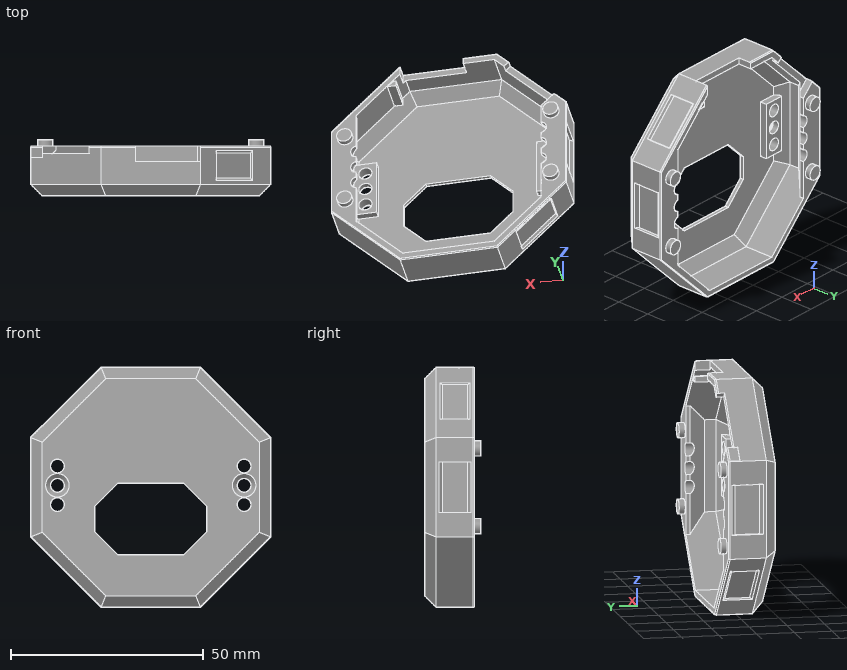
import math

import cadquery as cq

ACROSS_FLATS = 62.43
HALF_FLATS = ACROSS_FLATS / 2
SIDES = 8
HALF_SIDE_ANGLE = 180 / SIDES
HALF_SIDE = HALF_FLATS * math.tan(math.radians(HALF_SIDE_ANGLE))
RIM_Y = 13.0
WALL = 1.8
PLATE = 1.1
FRONT_BEVEL = 3.0
RIM_CHAMFER_OUT = 0.15
RIM_CHAMFER_DEPTH = 0.45

WINDOW_WIDTH = 29.0
WINDOW_HEIGHT = 18.5
WINDOW_CORNER = 5.9
WINDOW_TOP_Z = 1.0

HOLE_X = 24.25
HOLE_MID_Z = 0.5
HOLE_PITCH = 5.0
HOLE_DIAMETER = 3.5
SINK_DIAMETER = 6.1
SINK_ANGLE = 90
HOLE_PAD_WIDTH = 6.0
HOLE_PAD_HEIGHT = 16.0
HOLE_PAD_Y = 3.1

LEDGE_INNER_X = 24.6
LEDGE_THICKNESS = 1.1
PEG_X = 27.4
PEG_Z = 10.1
PEG_DIAMETER = 4.0
PEG_HEIGHT = 1.6

RECESS_LENGTH = 13.2
SIDE_RECESS_FRONT_Y = 3.75
SIDE_RECESS_REAR_Y = 12.05
SIDE_RECESS_DEPTH = 0.9
DIAGONAL_RECESS_FRONT_Y = 4.0
DIAGONAL_RECESS_REAR_Y = 11.75
DIAGONAL_RECESS_DEPTH = 0.6
DIAGONAL_RECESS_SHIFT = 0.5

TOP_NOTCH_LEFT_X = -3.9
TOP_NOTCH_FLOOR_Y = 8.95
TOP_NOTCH_DEPTH = 5.0
DIAGONAL_NOTCH_LENGTH = 17.1
DIAGONAL_NOTCH_FLOOR_Y = 10.95
DIAGONAL_NOTCH_DEPTH = 5.0

RIB_INNER_X = 14.0
RIB_LOW_Z = 25.3
RIB_HIGH_Z = 26.8
RIB_REAR_Y = 12.75

TAB_FRONT_Y = 9.95
TAB_PROUD = 0.08


def octagon_prism(half_flats, y_front, y_rear, taper=0):
    """Regular octagon with flats facing X and Z, from y_front to y_rear, narrowing by `taper` degrees."""
    circumscribed = 2 * half_flats / math.cos(math.radians(HALF_SIDE_ANGLE))
    return (
        cq.Workplane("XZ", origin=(0, y_front, 0))
        .transformed(rotate=(0, 0, HALF_SIDE_ANGLE))
        .polygon(SIDES, circumscribed)
        .extrude(y_front - y_rear, taper=taper)
    )


def box(x_range, y_range, z_range):
    """Axis-aligned box given its limits along each axis."""
    limits = (x_range, y_range, z_range)
    sizes = [high - low for low, high in limits]
    corner = [low for low, high in limits]
    return cq.Workplane("XY", origin=corner).box(*sizes, centered=False)


def place_on_wall(shape, angle):
    """Turn a shape built on the +X wall to the wall whose normal is at `angle` from +X towards +Z."""
    return shape.rotate((0, 0, 0), (0, 1, 0), -angle)


def shell():
    """Hollow octagonal cover with a bevelled front and a chamfered rear rim."""
    rim_start_y = RIM_Y - RIM_CHAMFER_DEPTH
    rim_taper = math.degrees(math.atan2(RIM_CHAMFER_OUT, RIM_CHAMFER_DEPTH))
    body = octagon_prism(HALF_FLATS, 0, rim_start_y).faces("<Y").chamfer(FRONT_BEVEL)
    rim = octagon_prism(HALF_FLATS, rim_start_y, RIM_Y, rim_taper)
    outer = body.union(rim)
    cavity = octagon_prism(HALF_FLATS - WALL, PLATE, RIM_Y)
    return outer.cut(cavity.faces("<Y").chamfer(FRONT_BEVEL))


def ledge(side):
    """Rear ledge along a side wall with a 45 degree underside; side is -1 or +1."""
    tip_y = RIM_Y - LEDGE_THICKNESS
    wall_x = HALF_FLATS - WALL
    outline = [
        (side * LEDGE_INNER_X, RIM_Y),
        (side * LEDGE_INNER_X, tip_y),
        (side * wall_x, tip_y - (wall_x - LEDGE_INNER_X)),
        (side * wall_x, RIM_Y),
    ]
    bar = cq.Workplane("XY").polyline(outline).close().extrude(HALF_FLATS, both=True)
    return bar.intersect(octagon_prism(HALF_FLATS - WALL, 0, RIM_Y))


def corner_rib():
    """Square-edged rib on the inside of the upper right diagonal wall, behind the bevel."""
    bevel_end_y = PLATE + FRONT_BEVEL
    block = box((RIB_INNER_X, HALF_FLATS), (bevel_end_y, RIB_REAR_Y), (RIB_LOW_Z, RIB_HIGH_Z))
    return block.intersect(octagon_prism(HALF_FLATS - WALL, 0, RIM_Y))


def hole_pad(side):
    """Thickening behind one row of screw holes."""
    return box(
        (side * HOLE_X - HOLE_PAD_WIDTH / 2, side * HOLE_X + HOLE_PAD_WIDTH / 2),
        (PLATE, HOLE_PAD_Y),
        (HOLE_MID_Z - HOLE_PAD_HEIGHT / 2, HOLE_MID_Z + HOLE_PAD_HEIGHT / 2),
    )


def pegs():
    """Four locating pegs standing on the ledges."""
    return (
        cq.Workplane("XZ", origin=(0, RIM_Y, 0))
        .rect(2 * PEG_X, 2 * PEG_Z, forConstruction=True)
        .vertices()
        .circle(PEG_DIAMETER / 2)
        .extrude(-PEG_HEIGHT)
    )


def screw_holes():
    """Two rows of three through holes, the middle one of each row countersunk."""
    centres = [
        (side * HOLE_X, HOLE_MID_Z + step * HOLE_PITCH) for side in (-1, 1) for step in (-1, 0, 1)
    ]
    drills = cq.Workplane("XZ").pushPoints(centres).circle(HOLE_DIAMETER / 2).extrude(-RIM_Y)
    sink_depth = SINK_DIAMETER / 2 / math.tan(math.radians(SINK_ANGLE / 2))
    for side in (-1, 1):
        sink = cq.Solid.makeCone(
            SINK_DIAMETER / 2,
            0,
            sink_depth,
            pnt=cq.Vector(side * HOLE_X, 0, HOLE_MID_Z),
            dir=cq.Vector(0, 1, 0),
        )
        drills = drills.union(cq.Workplane(sink))
    return drills


def plate_window():
    """Rectangular opening with cut corners through the face plate."""
    return (
        box(
            (-WINDOW_WIDTH / 2, WINDOW_WIDTH / 2),
            (0, PLATE),
            (WINDOW_TOP_Z - WINDOW_HEIGHT, WINDOW_TOP_Z),
        )
        .edges("|Y")
        .chamfer(WINDOW_CORNER)
    )


def wall_recess(front_y, rear_y, depth, shift):
    """Recess in the +X wall whose front and rear faces slope inward at 45 degrees."""
    floor_x = HALF_FLATS - depth
    outline = [
        (HALF_FLATS, front_y),
        (floor_x, front_y + depth),
        (floor_x, rear_y - depth),
        (HALF_FLATS, rear_y),
    ]
    prism = cq.Workplane("XY").polyline(outline).close().extrude(RECESS_LENGTH / 2, both=True)
    return prism.translate((0, 0, shift))


def diagonal_recess(shift):
    """Recess for a diagonal wall, moved along that wall by `shift`."""
    return wall_recess(
        DIAGONAL_RECESS_FRONT_Y, DIAGONAL_RECESS_REAR_Y, DIAGONAL_RECESS_DEPTH, shift
    )


def recesses():
    """Recesses in both side walls and in the upper right and lower left diagonal walls."""
    side = wall_recess(SIDE_RECESS_FRONT_Y, SIDE_RECESS_REAR_Y, SIDE_RECESS_DEPTH, 0)
    cutter = place_on_wall(side, 0).union(place_on_wall(side, 180))
    upper_right = place_on_wall(diagonal_recess(DIAGONAL_RECESS_SHIFT), 45)
    lower_left = place_on_wall(diagonal_recess(-DIAGONAL_RECESS_SHIFT), 225)
    return cutter.union(upper_right).union(lower_left)


def top_notch():
    """Cut-out of the top wall, reaching to its right-hand corner."""
    return box(
        (TOP_NOTCH_LEFT_X, HALF_SIDE),
        (TOP_NOTCH_FLOOR_Y, RIM_Y),
        (HALF_FLATS - TOP_NOTCH_DEPTH, HALF_FLATS),
    )


def diagonal_notch():
    """Cut-out centred in the upper left diagonal wall and trimming the ledge behind it."""
    half = DIAGONAL_NOTCH_LENGTH / 2
    notch = box(
        (HALF_FLATS - DIAGONAL_NOTCH_DEPTH, HALF_FLATS),
        (DIAGONAL_NOTCH_FLOOR_Y, RIM_Y),
        (-half, half),
    )
    return place_on_wall(notch, 135)


def proud_tab():
    """Tab between the diagonal notch and the left wall, standing slightly proud."""
    tab = box(
        (HALF_FLATS - WALL / 2, HALF_FLATS + TAB_PROUD),
        (TAB_FRONT_Y, RIM_Y - RIM_CHAMFER_DEPTH),
        (DIAGONAL_NOTCH_LENGTH / 2, HALF_SIDE - TAB_PROUD),
    )
    return place_on_wall(tab, 135)


result = shell()
for side in (-1, 1):
    result = result.union(ledge(side)).union(hole_pad(side))
result = result.union(pegs()).union(corner_rib())
for cutter in (screw_holes(), plate_window(), recesses(), top_notch(), diagonal_notch()):
    result = result.cut(cutter)
result = result.union(proud_tab())